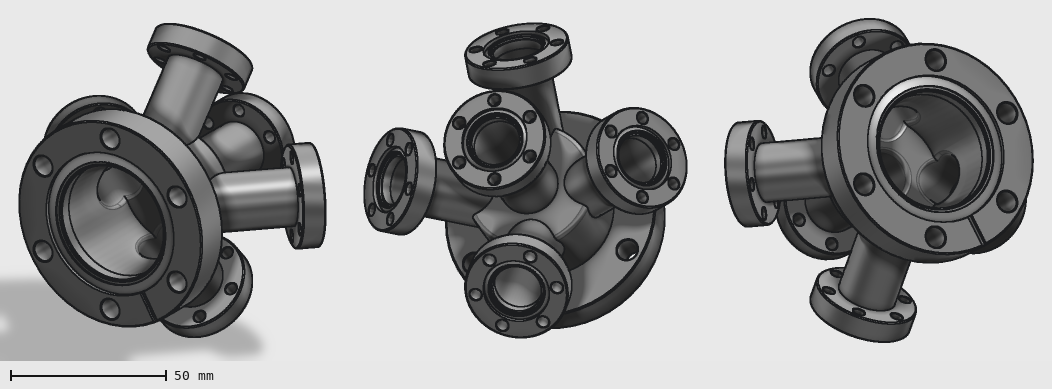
import cadquery as cq
import math


total_length = 85.0
port_tilt = 45
side_port_count = 4
crossing = 15.0
side_port_length = 59.1
rear_port_length = total_length - crossing

chamber_diameter = 38.4
side_wall = 1.8
rear_wall = 2.0
housing_diameter = chamber_diameter + 2 * side_wall
housing_end = 40.0
chamber_end = housing_end - rear_wall
housing_fillet = 1.5

tube_bore = 15.8
tube_wall = 1.6
tube_diameter = tube_bore + 2 * tube_wall
mouth_fillet = 1.5

bolt_count = 6
rim_chamfer = 0.4
recess_depth = 1.5
knife_depth = 0.4
ledge_depth = 1.1
step_depth = 1.7
step_taper = 0.2

main_diameter = 69.6
main_thickness = 12.7
main_socket_floor = 5.7
main_recess = 48.4
main_knife = 41.7
main_step = 39.9
main_bolt_circle = 58.7
main_hole = 6.7
main_hole_chamfer = 0.3
main_first_bolt = 30
groove_width = 1.6
groove_depth = 1.1
groove_angle = -60

port_diameter = 33.7
port_thickness = 7.6
port_socket_floor = 4.8
port_recess = 21.5
port_knife = 18.5
port_step = 17.4
port_bolt_circle = 26.9
port_hole = 3.8
port_hole_chamfer = 0.2


def flange_ring(diameter, thickness, bore, recess, knife, step, socket, socket_floor):
    """Ring with its face at Z = 0 and its body below, with a knife edge and a socket at the back."""
    rim = diameter / 2
    profile = [
        (recess / 2, 0),
        (rim - rim_chamfer, 0),
        (rim, -rim_chamfer),
        (rim, rim_chamfer - thickness),
        (rim - rim_chamfer, -thickness),
        (socket / 2, -thickness),
        (socket / 2, -socket_floor),
        (bore / 2, -socket_floor),
        (bore / 2, -step_depth),
        (step / 2 - step_taper, -step_depth),
        (step / 2, -ledge_depth),
        (knife / 2, -ledge_depth),
        (knife / 2, -knife_depth),
        (recess / 2, -recess_depth),
    ]
    return cq.Workplane("XZ").polyline(profile).close().revolve(360, (0, 0, 0), (0, 1, 0))


def bolt_holes(thickness, bolt_circle, hole, chamfer, first_angle):
    """Cutter for the ring of through holes, flared at both ends by the chamfer."""
    profile = [
        (0, 0),
        (hole / 2 + chamfer, 0),
        (hole / 2, -chamfer),
        (hole / 2, chamfer - thickness),
        (hole / 2 + chamfer, -thickness),
        (0, -thickness),
    ]
    cutter = cq.Workplane("XZ").polyline(profile).close().revolve(360, (0, 0, 0), (0, 1, 0)).val()
    places = cq.Workplane("XY").polarArray(bolt_circle / 2, first_angle, 360, bolt_count)
    return places.eachpoint(lambda place: cutter.moved(place))


def leak_groove():
    """Cutter for the radial groove in the main flange face."""
    start = main_recess / 2 - recess_depth / 2
    length = main_diameter / 2 - start
    bar = cq.Workplane("XY").box(2 * length, groove_width, 2 * groove_depth)
    return bar.translate((start + length, 0, 0)).rotate((0, 0, 0), (0, 0, 1), groove_angle)


def make_main_flange():
    """Main flange, facing -Y."""
    ring = flange_ring(
        main_diameter, main_thickness, chamber_diameter, main_recess, main_knife, main_step,
        housing_diameter, main_socket_floor,
    )
    holes = bolt_holes(main_thickness, main_bolt_circle, main_hole, main_hole_chamfer, main_first_bolt)
    return ring.cut(holes).cut(leak_groove()).rotate((0, 0, 0), (1, 0, 0), 90)


def make_port_flange(face):
    """Port flange with its face on the given plane."""
    ring = flange_ring(
        port_diameter, port_thickness, tube_bore, port_recess, port_knife, port_step,
        tube_diameter, port_socket_floor,
    )
    holes = bolt_holes(port_thickness, port_bolt_circle, port_hole, port_hole_chamfer, 0)
    return ring.cut(holes).val().moved(face.location)


def port_face(tilt, turn, length):
    """Plane of a port face, tilted from +Y and turned about Y from +X towards +Z."""
    tilt = math.radians(tilt)
    turn = math.radians(turn)
    axis = cq.Vector(math.sin(tilt) * math.cos(turn), math.cos(tilt), math.sin(tilt) * math.sin(turn))
    first_bolt = cq.Vector(-math.sin(turn), 0, math.cos(turn))
    return cq.Plane(origin=cq.Vector(0, crossing, 0) + axis * length, xDir=first_bolt, normal=axis)


def main_cylinder(diameter, start, end):
    """Cylinder on the main axis between two Y positions."""
    return cq.Workplane("XZ", origin=(0, start, 0)).circle(diameter / 2).extrude(start - end)


def port_cylinder(face, diameter, length):
    """Cylinder on a port axis, from the socket floor of its flange inwards to the crossing."""
    socket_floor = cq.Workplane(face).workplane(offset=-port_socket_floor)
    return socket_floor.circle(diameter / 2).extrude(port_socket_floor - length)


def make_cavity(ports):
    """Chamber and tube bores as one shape, rounded where the bores open into the chamber."""
    cavity = main_cylinder(chamber_diameter, main_socket_floor, chamber_end)
    for face, length in ports:
        cavity = cavity.union(port_cylinder(face, tube_bore, length))
    side_mouths = cavity.edges("%ELLIPSE or %BSPLINE")
    rear_mouth = cavity.edges(cq.selectors.NearestToPointSelector((0, chamber_end, 0)))
    return side_mouths.add(rear_mouth).fillet(mouth_fillet)


def make_housing(ports):
    """Chamber housing with its five tubes, hollow throughout."""
    housing = main_cylinder(housing_diameter, main_socket_floor, housing_end)
    housing = housing.faces(">Y").edges().fillet(housing_fillet)
    for face, length in ports:
        housing = housing.union(port_cylinder(face, tube_diameter, length))
    return housing.cut(make_cavity(ports))


ports = [(port_face(0, 0, rear_port_length), rear_port_length)]
for index in range(side_port_count):
    side_face = port_face(port_tilt, index * 360 / side_port_count, side_port_length)
    ports.append((side_face, side_port_length))

housing = make_housing(ports)
main_flange = make_main_flange()
port_flanges = [make_port_flange(face) for face, length in ports]

result = cq.Compound.makeCompound([housing.val(), main_flange.val(), *port_flanges])